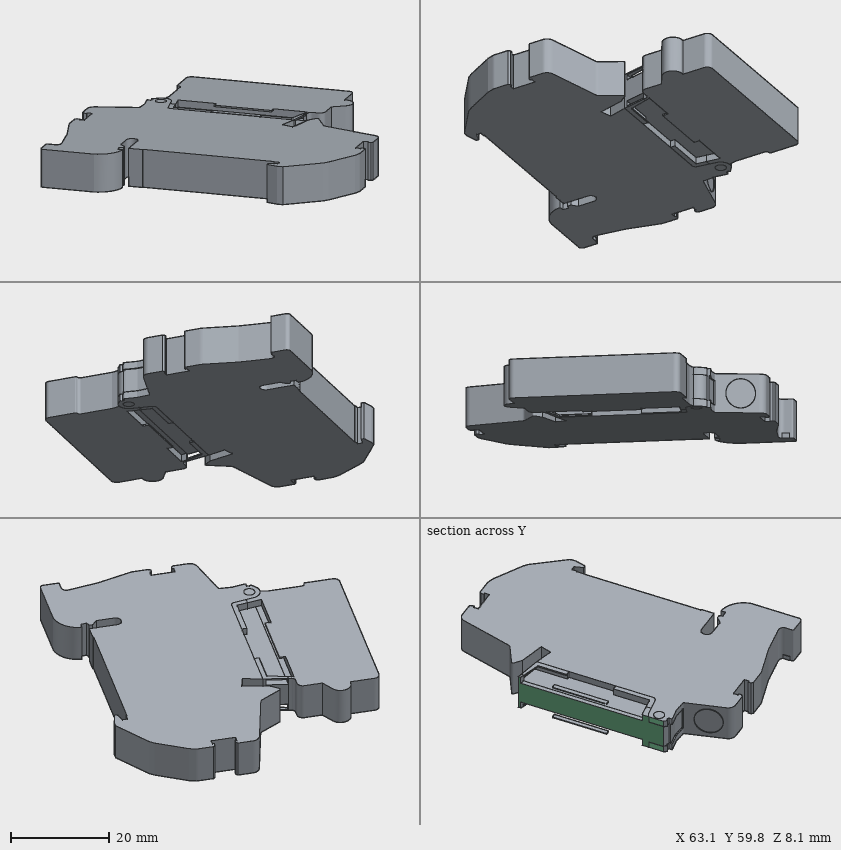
import cadquery as cq
import math

LENGTH = 63.1
HEIGHT = 59.8
THICKNESS = 8.1
CHEEK = 1.5
MID = THICKNESS / 2
CORE = THICKNESS - 2 * CHEEK

HINGE_X, HINGE_Y = 12.55, 41.0
HINGE_R = 2.2
PIVOT_R = 1.15
CORE_SETBACK = 0.3

SEAT_Y = 36.4
SEAT_LEFT = 15.5
SEAT_RIGHT = 42.65
SEAT_FILLET = 0.8

EAR_START = 115.0
LEVER_START = 85.0
FLANK_START = 15.0

FOOT_LEFT = 0.2
FOOT_TOP = 4.1
FOOT_NECK = 3.2
FLANK_BEND_Y = 19.4
FLANK_KNEE = (59.0, 9.6)
RIGHT_EDGE_END = 17.6
BARB_TIP, BARB_ROOT = (46.95, 39.25), (49.85, 34.2)
FOOT_RIGHT = 16.3
FOOT_FLAT_END = 11.85
FOOT_ARC = 5.3
FOOT_HOOK_Y = 4.9
BASE_Y = 6.45
BASE_PAD_Y = 6.25
PADS_X = (20.15, 48.35)
RAIL_SLOT_LEFT, RAIL_SLOT_RIGHT = 14.75, 17.15
RAIL_SLOT_R = (RAIL_SLOT_RIGHT - RAIL_SLOT_LEFT) / 2
RAIL_SLOT_TOP = 13.25
NOTCH_DEPTH = 2.1
NOTCH_LIP = 1.0
LIP_RISE = 0.4
LEFT_NOTCH = (23.0, 28.0)
RIGHT_NOTCH = (21.0, 26.1)

LEDGE_X, LEDGE_RISE, LEDGE_THICKNESS = (0.95, 2.8), 0.1, 1.0

SHOULDER_LOW, SHOULDER_HIGH = (0, 32.5), (9.9, 35.2)
SHOULDER_FILLET = 1.7
RIGHT_SHOULDER = (LENGTH, 30.6)

MARK_D, MARK_DEPTH = 6.05, 0.2
MARK_X = 4.85

EAR_EDGE = [SHOULDER_HIGH, (10.1, 38.05), (9.65, 40.6), (9.65, HINGE_Y)]

LEVER_LEFT, LEVER_RIGHT = 12.2, 47.9
LEVER_FILLET = 1.25
LEVER_NECK_LEFT, LEVER_NECK_RIGHT = 13.1, 46.95
LEVER_BOTTOM = 42.8
LEVER_STEP_Y = 52.5
LEVER_SIDE_TOP = (43.8, 42.0)

WINDOW_TOP, WINDOW_BOTTOM = LEVER_BOTTOM, 37.5
WINDOW_TOP_X = (15.7, 43.4)
WINDOW_BOTTOM_X = (16.5, 41.85)
OUTLET_X = (24.75, 35.35)
TAB_X = (23.85, 36.15)
SKIN = 0.3
FRAME_RIM = 0.6
SPLIT_Y = 41.5
LEFT_SPLIT_Y = 39.75


def ear_point(degrees):
    """Point on the rounded top of the hinge ear."""
    angle = math.radians(degrees)
    return (HINGE_X + HINGE_R * math.cos(angle), HINGE_Y + HINGE_R * math.sin(angle))


def side_x(y):
    """X of the slanted right side of lever and insert at height y."""
    top_x, top_y = LEVER_SIDE_TOP
    return SEAT_RIGHT + (y - SEAT_Y) * (top_x - SEAT_RIGHT) / (top_y - SEAT_Y)


def flank_x(y):
    """X of the straight ear flank at height y."""
    flank_top_x, flank_top_y = ear_point(FLANK_START)
    return SEAT_LEFT + (y - SEAT_Y) * (flank_top_x - SEAT_LEFT) / (flank_top_y - SEAT_Y)


def window_left_x(y):
    """X of the slanted left edge of the window at height y."""
    top_x, bottom_x = WINDOW_TOP_X[0], WINDOW_BOTTOM_X[0]
    return bottom_x + (y - WINDOW_BOTTOM) * (top_x - bottom_x) / (WINDOW_TOP - WINDOW_BOTTOM)


def box(x_range, y_range, z_range):
    """Axis-aligned block between the given limits."""
    (x0, x1), (y0, y1), (z0, z1) = x_range, y_range, z_range
    return cq.Workplane("XY").box(x1 - x0, y1 - y0, z1 - z0, centered=False).translate((x0, y0, z0))


def disc(radius, z0, height):
    """Cylinder about the hinge axis."""
    return cq.Workplane("XY", origin=(HINGE_X, HINGE_Y, z0)).circle(radius).extrude(height)


def round_corners(body, corners):
    """Fillet the upright edges at each listed (x, y, radius)."""
    for x, y, radius in corners:
        near = cq.selectors.BoxSelector((x - 0.05, y - 0.05, -0.6), (x + 0.05, y + 0.05, THICKNESS + 0.6), True)
        body = body.edges("|Z").edges(near).fillet(radius)
    return body


def housing_plate():
    """Full-thickness housing outline, drawn clockwise from the foot."""
    left_low, left_high = LEFT_NOTCH
    right_low, right_high = RIGHT_NOTCH
    right_floor = LENGTH - NOTCH_DEPTH
    right_lip = LENGTH - NOTCH_LIP
    outline = (
        cq.Workplane("XY")
        .moveTo(FOOT_LEFT, 0)
        .lineTo(FOOT_LEFT, FOOT_TOP)
        .lineTo(FOOT_NECK, FOOT_TOP)
        .lineTo(2.0, 11.9)
        .lineTo(0, FLANK_BEND_Y)
        .lineTo(0, left_low)
        .lineTo(LIP_RISE, left_low + LIP_RISE)
        .lineTo(NOTCH_LIP, left_low + LIP_RISE)
        .lineTo(NOTCH_LIP, left_low)
        .lineTo(NOTCH_DEPTH, left_low)
        .lineTo(NOTCH_DEPTH, left_high)
        .lineTo(NOTCH_LIP, left_high)
        .lineTo(NOTCH_LIP, left_high - LIP_RISE)
        .lineTo(LIP_RISE, left_high - LIP_RISE)
        .lineTo(0, left_high)
        .lineTo(*SHOULDER_LOW)
        .polyline(EAR_EDGE, includeCurrent=True)
        .lineTo(10.35, HINGE_Y)
        .lineTo(10.55, 41.5)
        .lineTo(10.2, 41.9)
        .lineTo(*ear_point(EAR_START))
        .threePointArc(ear_point((EAR_START + LEVER_START) / 2), ear_point(LEVER_START))
        .threePointArc(ear_point((LEVER_START + FLANK_START) / 2), ear_point(FLANK_START))
        .lineTo(SEAT_LEFT, SEAT_Y)
        .lineTo(SEAT_RIGHT, SEAT_Y)
        .lineTo(41.5, 32.4)
        .lineTo(44.0, 31.6)
        .lineTo(45.45, 37.3)
        .lineTo(*BARB_TIP)
        .lineTo(*BARB_ROOT)
        .lineTo(*RIGHT_SHOULDER)
        .lineTo(LENGTH, right_high)
        .lineTo(LENGTH - LIP_RISE, right_high - LIP_RISE)
        .lineTo(right_lip, right_high - LIP_RISE)
        .lineTo(right_lip, right_high)
        .lineTo(right_floor, right_high)
        .lineTo(right_floor, right_low)
        .lineTo(right_lip, right_low)
        .lineTo(right_lip, right_low + LIP_RISE)
        .lineTo(LENGTH - LIP_RISE, right_low + LIP_RISE)
        .lineTo(LENGTH, right_low)
        .lineTo(LENGTH, RIGHT_EDGE_END)
        .lineTo(62.6, 15.95)
        .lineTo(*FLANK_KNEE)
        .lineTo(58.25, 8.65)
        .lineTo(51.25, 3.35)
        .lineTo(50.05, 3.35)
        .lineTo(47.65, 4.0)
        .lineTo(47.65, 4.6)
        .lineTo(49.55, 5.2)
        .lineTo(49.55, BASE_PAD_Y)
        .lineTo(PADS_X[1], BASE_PAD_Y)
        .lineTo(PADS_X[1], BASE_Y)
        .lineTo(PADS_X[0], BASE_Y)
        .lineTo(PADS_X[0], BASE_PAD_Y)
        .lineTo(RAIL_SLOT_RIGHT, BASE_PAD_Y)
        .lineTo(RAIL_SLOT_RIGHT, RAIL_SLOT_TOP - RAIL_SLOT_R)
        .threePointArc(
            (RAIL_SLOT_LEFT + RAIL_SLOT_R, RAIL_SLOT_TOP),
            (RAIL_SLOT_LEFT, RAIL_SLOT_TOP - RAIL_SLOT_R),
        )
        .lineTo(RAIL_SLOT_LEFT, 8.3)
        .lineTo(15.95, 7.25)
        .lineTo(15.95, 6.5)
        .lineTo(15.15, 6.2)
        .lineTo(15.3, FOOT_HOOK_Y)
        .lineTo(FOOT_RIGHT, FOOT_HOOK_Y)
        .radiusArc((FOOT_FLAT_END, 0), FOOT_ARC)
        .close()
    )
    return outline.extrude(THICKNESS)


def shoulder_mark():
    """Shallow round recess, square to the left shoulder."""
    low_x, low_y = SHOULDER_LOW
    high_x, high_y = SHOULDER_HIGH
    run, rise = high_x - low_x, high_y - low_y
    mark_y = low_y + (MARK_X - low_x) * rise / run
    plane = cq.Plane(origin=(MARK_X, mark_y, MID), xDir=(run, rise, 0), normal=(-rise, run, 0))
    return cq.Workplane(plane).circle(MARK_D / 2).extrude(-MARK_DEPTH)


def foot_ledge():
    """Thin raised strip along the bottom face, on top of the foot."""
    return box(LEDGE_X, (FOOT_TOP - 0.6, FOOT_TOP + LEDGE_RISE), (0, LEDGE_THICKNESS))


def hinge_gap():
    """Room between the two cheeks for the lever hub, and the set-back core edge below it."""
    ear_left = EAR_EDGE[-1][0]
    ear_right = HINGE_X + HINGE_R
    gap = disc(HINGE_R, CHEEK, CORE)
    gap = gap.union(box((ear_left, ear_right), (HINGE_Y, HINGE_Y + HINGE_R), (CHEEK, CHEEK + CORE)))
    set_back = [(x + CORE_SETBACK, y) for x, y in reversed(EAR_EDGE)]
    strip = cq.Workplane("XY", origin=(0, 0, CHEEK)).polyline(EAR_EDGE + set_back).close().extrude(CORE)
    return gap.union(strip)


def make_housing():
    corners = [
        (FOOT_LEFT, 0, 0.75),
        (FOOT_LEFT, FOOT_TOP, 0.3),
        (FOOT_NECK, FOOT_TOP, 1.1),
        (0, FLANK_BEND_Y, 3.15),
        (*SHOULDER_LOW, SHOULDER_FILLET),
        (*SHOULDER_HIGH, 0.25),
        (*RIGHT_SHOULDER, SHOULDER_FILLET),
        (SEAT_LEFT, SEAT_Y, SEAT_FILLET),
        (*BARB_TIP, 0.3),
        (*BARB_ROOT, 0.95),
        (*FLANK_KNEE, 0.95),
        (LENGTH, RIGHT_EDGE_END, 1.9),
    ]
    body = round_corners(housing_plate(), corners)
    body = body.union(foot_ledge()).cut(hinge_gap())
    body = body.cut(disc(PIVOT_R, 0, THICKNESS))
    return body.cut(shoulder_mark())


def window(z0):
    """Recess of cheek depth, standing on z0, with its outlet through the lower frame."""
    left_top, right_top = WINDOW_TOP_X
    left_bottom, right_bottom = WINDOW_BOTTOM_X
    opening = (
        cq.Workplane("XY", origin=(0, 0, z0))
        .polyline([
            (left_top, WINDOW_TOP),
            (right_top, WINDOW_TOP),
            (right_bottom, WINDOW_BOTTOM),
            (left_bottom, WINDOW_BOTTOM),
        ])
        .close()
        .extrude(CHEEK)
    )
    return opening.union(box(OUTLET_X, (SEAT_Y, WINDOW_BOTTOM), (z0, z0 + CHEEK)))


def both_windows():
    return window(0).union(window(THICKNESS - CHEEK))


def lever_plate():
    """Full-thickness lever outline, clockwise from the ear."""
    outline = (
        cq.Workplane("XY")
        .moveTo(*ear_point(LEVER_START))
        .lineTo(LEVER_NECK_LEFT, 44.95)
        .lineTo(LEVER_NECK_LEFT, LEVER_STEP_Y)
        .lineTo(LEVER_LEFT, LEVER_STEP_Y)
        .lineTo(LEVER_LEFT, HEIGHT)
        .lineTo(LEVER_RIGHT, HEIGHT)
        .lineTo(LEVER_RIGHT, 53.5)
        .lineTo(48.6, 53.5)
        .threePointArc((50.4, 51.5), (49.5, 49.5))
        .lineTo(LEVER_NECK_RIGHT, 47.85)
        .lineTo(LEVER_NECK_RIGHT, LEVER_BOTTOM)
        .lineTo(side_x(LEVER_BOTTOM), LEVER_BOTTOM)
        .lineTo(side_x(SPLIT_Y), SPLIT_Y)
        .lineTo(window_left_x(SPLIT_Y), SPLIT_Y)
        .lineTo(window_left_x(LEFT_SPLIT_Y), LEFT_SPLIT_Y)
        .lineTo(flank_x(LEFT_SPLIT_Y), LEFT_SPLIT_Y)
        .lineTo(*ear_point(FLANK_START))
        .threePointArc(ear_point((LEVER_START + FLANK_START) / 2), ear_point(LEVER_START))
        .close()
    )
    return outline.extrude(THICKNESS)


def window_tabs():
    """Thin tabs, flush with both faces, that overhang the windows."""
    tab_y = (SPLIT_Y, LEVER_BOTTOM)
    upper = box(TAB_X, tab_y, (THICKNESS - SKIN, THICKNESS))
    lower = box(TAB_X, tab_y, (0, SKIN))
    return upper.union(lower)


def make_lever():
    corners = [
        (LEVER_LEFT, HEIGHT, LEVER_FILLET),
        (LEVER_RIGHT, HEIGHT, LEVER_FILLET),
        (LEVER_LEFT, LEVER_STEP_Y, 0.25),
        (LEVER_NECK_LEFT, LEVER_STEP_Y, 0.6),
        (LEVER_NECK_RIGHT, LEVER_BOTTOM, LEVER_FILLET),
        (side_x(LEVER_BOTTOM), LEVER_BOTTOM, 0.75),
    ]
    body = round_corners(lever_plate(), corners)
    body = body.cut(both_windows().cut(window_tabs()))
    hub = disc(HINGE_R, CHEEK, CORE)
    pivot = disc(PIVOT_R, 0, THICKNESS)
    return body.union(hub).union(pivot)


def frame_undercut(z0):
    """Gap under the right part of the window frame, open to the right side."""
    gap_y = (SEAT_Y + FRAME_RIM, SPLIT_Y)
    return box((OUTLET_X[1], side_x(SPLIT_Y)), gap_y, (z0, z0 + CHEEK - SKIN))


def make_insert():
    """Block below the lever, framing the lower part of both windows."""
    body = (
        cq.Workplane("XY")
        .polyline([
            (SEAT_LEFT, SEAT_Y),
            (flank_x(LEFT_SPLIT_Y), LEFT_SPLIT_Y),
            (window_left_x(LEFT_SPLIT_Y), LEFT_SPLIT_Y),
            (window_left_x(SPLIT_Y), SPLIT_Y),
            (side_x(SPLIT_Y), SPLIT_Y),
            (SEAT_RIGHT, SEAT_Y),
        ])
        .close()
        .extrude(THICKNESS)
    )
    body = round_corners(body, [(SEAT_LEFT, SEAT_Y, SEAT_FILLET)])
    body = body.cut(both_windows())
    return body.cut(frame_undercut(SKIN)).cut(frame_undercut(THICKNESS - CHEEK))


housing = make_housing()
lever = make_lever()
insert = make_insert()

bodies = [housing, lever, insert]
result = cq.Compound.makeCompound([body.solids().val() for body in bodies])